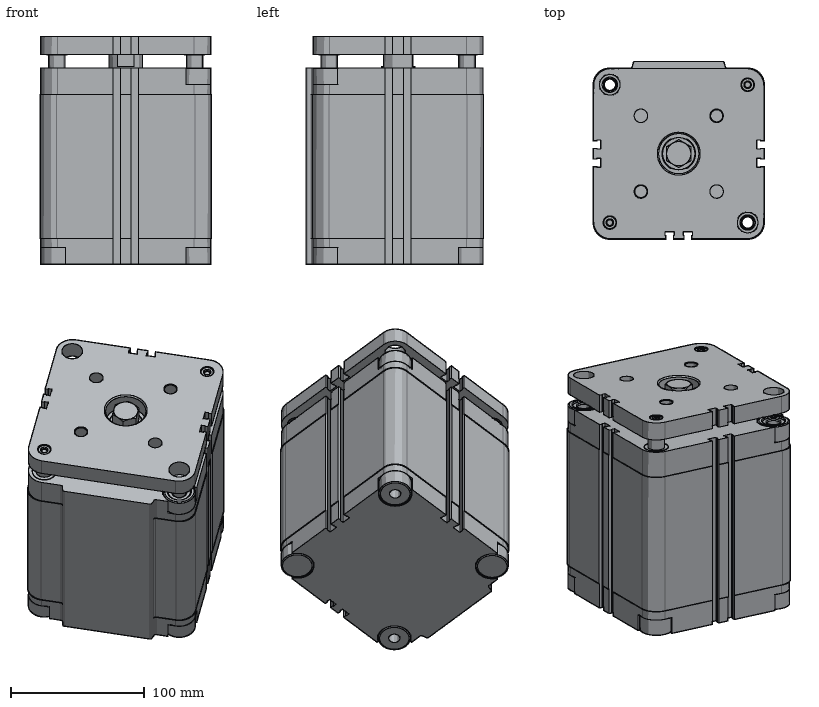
import cadquery as cq
import math

TOTAL_HEIGHT = 170.5
PLATE_THICKNESS = 13.6
HOUSING_HEIGHT = 147.0
CAP_THICKNESS = 20.0
BASE_THICKNESS = 19.5
PLATE_BOTTOM = TOTAL_HEIGHT - PLATE_THICKNESS
CAP_BOTTOM = HOUSING_HEIGHT - CAP_THICKNESS

BARREL_WIDTH = 128.0
CAP_WIDTH = 127.0
CORNER_RADIUS = 12.5

SLOT_OFFSET = 6.8
SLOT_NECK_WIDTH = 5.6
SLOT_INNER_WIDTH = 6.6
SLOT_DEPTH = 5.1
SLOT_LIP = 2.4

OVERALL_DEPTH = 133
RAIL_FACE_Y = OVERALL_DEPTH - BARREL_WIDTH / 2
RAIL_ROOT_WIDTH = 70.5
RAIL_FACE_WIDTH = 67.5
RAIL_FILLET = 1.4
RAIL_FOOT_MARGIN = 5.1

CORNER_OFFSET = 51.5
SCREW_HEAD_DIAMETER = 24.0
SCREW_HEAD_FACE_DIAMETER = 23.0
SCREW_HEAD_CHAMFER_HEIGHT = 1.0
SCREW_POCKET_DIAMETER = 25.0
SCREW_RECESS_RIM = 18.0
SCREW_RECESS_DIAMETER = 16.5
SCREW_RECESS_DEPTH = 1.0
NOTCH_INNER_EDGE = 45.2
NOTCH_HEIGHT = 12.6
SCREW_BORE_DIAMETER = 8.4
SCREW_SOCKET_DIAMETER = 9.7
SCREW_SOCKET_RIM = 11.5
SCREW_SOCKET_DEPTH = 12.6
SCREW_ACCESS_DIAMETER = 15.3
GUIDE_DIAMETER = 12.5
GUIDE_COLLAR_DIAMETER = 15.0
GUIDE_COLLAR_HEIGHT = 0.3
BUSH_DIAMETER = 18.0
BUSH_RECESS = 0.3
ROD_INSERTION = CAP_THICKNESS

FIXING_RIM_DIAMETER = 10.0
FIXING_RECESS_DIAMETER = 9.0
FIXING_RECESS_DEPTH = 0.7
FIXING_SOCKET_RIM = 5.6
FIXING_SOCKET_DIAMETER = 4.3
FIXING_SOCKET_DEPTH = 1.7

ROD_DIAMETER = 25.0
ROD_FLATS = 22.0
ROD_FLATS_BOTTOM = 147.8
SHOULDER_DIAMETER = 24.0
SHOULDER_HEIGHT = 0.5
WELL_DIAMETER = 30.0
WELL_RIM_DIAMETER = 32.0
WELL_DEPTH = 13.0
STUD_FLATS = 18.0
STUD_CHAMFER_ANGLE = 30
STUD_RECESS = 0.5

MOUNT_OFFSET = 28.3
MOUNT_DIAMETER = 10.0
MOUNT_THREAD_DIAMETER = 9.0

GUIDE_POINTS = [(-CORNER_OFFSET, -CORNER_OFFSET), (CORNER_OFFSET, CORNER_OFFSET)]
SCREW_POINTS = [(-CORNER_OFFSET, CORNER_OFFSET), (CORNER_OFFSET, -CORNER_OFFSET)]
PIN_POINTS = [(-MOUNT_OFFSET, MOUNT_OFFSET), (MOUNT_OFFSET, -MOUNT_OFFSET)]
THREAD_POINTS = [(-MOUNT_OFFSET, -MOUNT_OFFSET), (MOUNT_OFFSET, MOUNT_OFFSET)]


def rounded_block(width, bottom, height):
    """Square block with round vertical corners, centred on the Z axis."""
    block = cq.Workplane("XY").workplane(offset=bottom).rect(width, width).extrude(height)
    return block.edges("|Z").fillet(CORNER_RADIUS)


def cylinders(points, diameter, bottom, top):
    """Upright cylinders at the given points."""
    return (
        cq.Workplane("XY").workplane(offset=bottom)
        .pushPoints(points).circle(diameter / 2).extrude(top - bottom)
    )


def countersinks(points, rim_diameter, hole_diameter, top):
    """45 degree cones that widen holes to rim_diameter at height top."""
    depth = (rim_diameter - hole_diameter) / 2
    return (
        cq.Workplane("XY").workplane(offset=top)
        .pushPoints(points).circle(rim_diameter / 2).extrude(-depth, taper=45)
    )


def flatted_cylinder(diameter, size_x, size_y, bottom, top):
    """Cylinder on the Z axis, trimmed by a rectangle to leave flats."""
    sides = cq.Workplane("XY").workplane(offset=bottom).rect(size_x, size_y).extrude(top - bottom)
    return cylinders([(0, 0)], diameter, bottom, top).intersect(sides)


def side_slots(bottom, top):
    """Cutters for the pairs of T-slots in the -Y, +X and -X sides."""
    outer = CAP_WIDTH / 2
    lip_y = -outer + SLOT_LIP
    floor_y = -outer + SLOT_DEPTH
    mouth_y = -BARREL_WIDTH
    neck = SLOT_NECK_WIDTH / 2
    inner = SLOT_INNER_WIDTH / 2
    profile = [
        (-neck, mouth_y), (neck, mouth_y), (neck, lip_y), (inner, lip_y),
        (inner, floor_y), (-inner, floor_y), (-inner, lip_y), (-neck, lip_y),
    ]
    slot = cq.Workplane("XY").workplane(offset=bottom).polyline(profile).close().extrude(top - bottom)
    pair = slot.translate((-SLOT_OFFSET, 0, 0)).union(slot.translate((SLOT_OFFSET, 0, 0)))
    slots = pair
    for angle in (90, -90):
        slots = slots.union(pair.rotate((0, 0, 0), (0, 0, 1), angle))
    return slots


def rail(body_width, bottom, height):
    """Trapezoidal rail on the +Y side of a housing section, on a foot flush with that side."""
    cap_face = CAP_WIDTH / 2
    root_y = body_width / 2
    slope = (RAIL_ROOT_WIDTH - RAIL_FACE_WIDTH) / 2 / (RAIL_FACE_Y - cap_face)
    root_x = RAIL_ROOT_WIDTH / 2 - slope * (root_y - cap_face)
    face_x = RAIL_FACE_WIDTH / 2
    foot_x = root_x + RAIL_FOOT_MARGIN
    profile = [
        (-foot_x, 0), (-foot_x, root_y), (-root_x, root_y), (-face_x, RAIL_FACE_Y),
        (face_x, RAIL_FACE_Y), (root_x, root_y), (foot_x, root_y), (foot_x, 0),
    ]
    body = cq.Workplane("XY").workplane(offset=bottom).polyline(profile).close().extrude(height)
    inside_foot = cq.selectors.BoxSelector(
        (-root_x - RAIL_FILLET, cap_face - RAIL_FILLET, bottom),
        (root_x + RAIL_FILLET, RAIL_FACE_Y + RAIL_FILLET, bottom + height))
    return body.edges("|Z").edges(inside_foot).fillet(RAIL_FILLET)


def housing_section(width, bottom, height):
    """One length of the housing: a rounded block with its piece of the rail."""
    return rounded_block(width, bottom, height).union(rail(width, bottom, height))


def corner_notch(point, bottom):
    """Cutter that clears a housing corner around a screw head."""
    x, y = point
    size = BARREL_WIDTH / 2
    centre = NOTCH_INNER_EDGE + size / 2
    block = (
        cq.Workplane("XY").workplane(offset=bottom)
        .center(math.copysign(centre, x), math.copysign(centre, y))
        .rect(size, size).extrude(NOTCH_HEIGHT)
    )
    return block.union(cylinders([point], SCREW_POCKET_DIAMETER, bottom, bottom + NOTCH_HEIGHT))


def screw_head(point, bottom, end_face):
    """Round head filling the middle of a corner notch, chamfered at its outer end."""
    head = cylinders([point], SCREW_HEAD_DIAMETER, bottom, bottom + NOTCH_HEIGHT)
    chamfer_width = (SCREW_HEAD_DIAMETER - SCREW_HEAD_FACE_DIAMETER) / 2
    return head.faces(end_face).chamfer(chamfer_width, SCREW_HEAD_CHAMFER_HEIGHT)


def make_housing():
    housing = housing_section(CAP_WIDTH, 0, BASE_THICKNESS)
    housing = housing.union(housing_section(BARREL_WIDTH, BASE_THICKNESS, CAP_BOTTOM - BASE_THICKNESS))
    housing = housing.union(housing_section(CAP_WIDTH, CAP_BOTTOM, CAP_THICKNESS))
    housing = housing.cut(side_slots(0, HOUSING_HEIGHT))

    top_notch = HOUSING_HEIGHT - NOTCH_HEIGHT
    for point in SCREW_POINTS:
        housing = housing.cut(corner_notch(point, top_notch)).union(screw_head(point, top_notch, ">Z"))
    for point in SCREW_POINTS + GUIDE_POINTS:
        housing = housing.cut(corner_notch(point, 0)).union(screw_head(point, 0, "<Z"))

    recess_floor = HOUSING_HEIGHT - SCREW_RECESS_DEPTH
    socket_floor = HOUSING_HEIGHT - SCREW_SOCKET_DEPTH
    for diameter, floor in (
        (SCREW_RECESS_DIAMETER, recess_floor),
        (SCREW_SOCKET_DIAMETER, socket_floor),
        (SCREW_BORE_DIAMETER, 0),
    ):
        housing = housing.cut(cylinders(SCREW_POINTS, diameter, floor, HOUSING_HEIGHT))
    housing = housing.cut(
        countersinks(SCREW_POINTS, SCREW_RECESS_RIM, SCREW_RECESS_DIAMETER, HOUSING_HEIGHT))
    housing = housing.cut(
        countersinks(SCREW_POINTS, SCREW_SOCKET_RIM, SCREW_SOCKET_DIAMETER, recess_floor))

    bore_floor = HOUSING_HEIGHT - ROD_INSERTION
    housing = housing.cut(cylinders([(0, 0)], ROD_DIAMETER, bore_floor, HOUSING_HEIGHT))
    housing = housing.cut(cylinders(GUIDE_POINTS, GUIDE_DIAMETER, bore_floor, HOUSING_HEIGHT))
    return housing.cut(
        cylinders(GUIDE_POINTS, BUSH_DIAMETER, HOUSING_HEIGHT - BUSH_RECESS, HOUSING_HEIGHT))


def make_plate():
    """Plate without its rods and stud."""
    plate = rounded_block(CAP_WIDTH, PLATE_BOTTOM, PLATE_THICKNESS)
    plate = plate.cut(side_slots(PLATE_BOTTOM, TOTAL_HEIGHT))
    plate = plate.cut(cylinders(SCREW_POINTS, SCREW_ACCESS_DIAMETER, PLATE_BOTTOM, TOTAL_HEIGHT))

    plate = plate.cut(cylinders(PIN_POINTS, MOUNT_DIAMETER, PLATE_BOTTOM, TOTAL_HEIGHT))
    plate = plate.cut(cylinders(THREAD_POINTS, MOUNT_THREAD_DIAMETER, PLATE_BOTTOM, TOTAL_HEIGHT))
    plate = plate.cut(
        countersinks(THREAD_POINTS, MOUNT_DIAMETER, MOUNT_THREAD_DIAMETER, TOTAL_HEIGHT))

    recess_floor = TOTAL_HEIGHT - FIXING_RECESS_DEPTH
    socket_floor = recess_floor - FIXING_SOCKET_DEPTH
    plate = plate.cut(cylinders(GUIDE_POINTS, FIXING_RECESS_DIAMETER, recess_floor, TOTAL_HEIGHT))
    plate = plate.cut(
        countersinks(GUIDE_POINTS, FIXING_RIM_DIAMETER, FIXING_RECESS_DIAMETER, TOTAL_HEIGHT))
    plate = plate.cut(cylinders(GUIDE_POINTS, FIXING_SOCKET_DIAMETER, socket_floor, recess_floor))
    plate = plate.cut(
        countersinks(GUIDE_POINTS, FIXING_SOCKET_RIM, FIXING_SOCKET_DIAMETER, recess_floor))

    plate = plate.cut(cylinders([(0, 0)], WELL_DIAMETER, TOTAL_HEIGHT - WELL_DEPTH, TOTAL_HEIGHT))
    return plate.cut(countersinks([(0, 0)], WELL_RIM_DIAMETER, WELL_DIAMETER, TOTAL_HEIGHT))


def hexagonal_stud(bottom, top):
    """Hexagonal end with two flats facing X, its corners chamfered down to the flats."""
    corner_diameter = STUD_FLATS / math.cos(math.pi / 6)
    hexagon = (
        cq.Workplane("XY").workplane(offset=bottom)
        .transformed(rotate=(0, 0, 90)).polygon(6, corner_diameter).extrude(top - bottom)
    )
    chamfer_width = (corner_diameter - STUD_FLATS) / 2
    chamfer_height = chamfer_width * math.tan(math.radians(STUD_CHAMFER_ANGLE))
    envelope = cylinders([(0, 0)], corner_diameter, bottom, top)
    envelope = envelope.faces(">Z").chamfer(chamfer_height, chamfer_width)
    return hexagon.intersect(envelope)


def piston_rod():
    """Piston rod with wrench flats, a shoulder and a hexagonal stud on top."""
    rod_bottom = HOUSING_HEIGHT - ROD_INSERTION
    well_floor = TOTAL_HEIGHT - WELL_DEPTH
    stud_top = TOTAL_HEIGHT - STUD_RECESS
    rod = cylinders([(0, 0)], ROD_DIAMETER, rod_bottom, ROD_FLATS_BOTTOM)
    rod = rod.union(flatted_cylinder(ROD_DIAMETER, ROD_DIAMETER, ROD_FLATS, ROD_FLATS_BOTTOM, PLATE_BOTTOM))
    rod = rod.union(cylinders([(0, 0)], SHOULDER_DIAMETER, PLATE_BOTTOM, well_floor + SHOULDER_HEIGHT))
    return rod.union(hexagonal_stud(well_floor, stud_top))


def make_slide():
    """Moving body: plate, piston rod and two guide rods in one piece."""
    slide = make_plate().union(piston_rod())
    slide = slide.union(
        cylinders(GUIDE_POINTS, GUIDE_DIAMETER, HOUSING_HEIGHT - ROD_INSERTION, PLATE_BOTTOM))
    return slide.union(cylinders(
        GUIDE_POINTS, GUIDE_COLLAR_DIAMETER, PLATE_BOTTOM - GUIDE_COLLAR_HEIGHT, PLATE_BOTTOM))


housing = make_housing()
slide = make_slide()
result = cq.Compound.makeCompound([housing.val(), slide.val()])